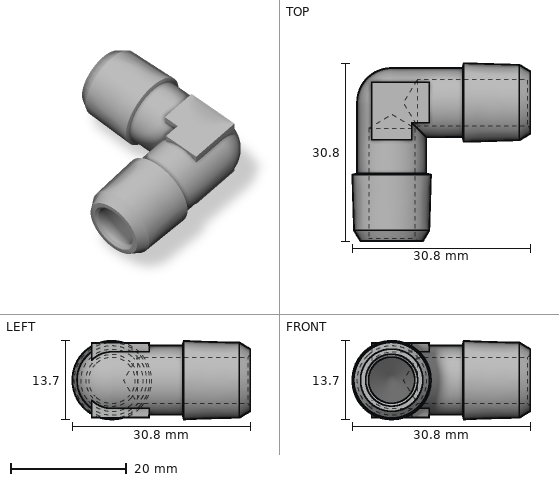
import cadquery as cq
import math

overall_size = 30.82
collar_diameter = 13.65
collar_radius = collar_diameter / 2
arm_length = overall_size - collar_radius
pipe_radius = 6.0

shoulder_start = 12.27
collar_start = 12.48
nose_start = 22.1
collar_end_radius = 6.53
nose_radius = 5.4

bore_radius = 4.0
mouth_chamfer = 0.5
bore_tip_offset = 2.0
drill_half_angle = math.radians(59)
drill_point_end = bore_tip_offset + bore_radius / math.tan(drill_half_angle)

block_height = 12.95
block_back = 3.48
block_front = 6.47


def revolve_about_x(profile):
    """Revolve a closed (position, radius) profile about the X axis."""
    return cq.Workplane("XY").polyline(profile).close().revolve(360, (0, 0, 0), (1, 0, 0))


def aim_down_y(body):
    """Turn an arm lying along +X so that it lies along -Y."""
    return body.rotate((0, 0, 0), (0, 0, 1), -90)


def make_arm():
    return revolve_about_x([
        (0, 0),
        (0, pipe_radius),
        (shoulder_start, pipe_radius),
        (collar_start, collar_radius),
        (nose_start, collar_end_radius),
        (arm_length, nose_radius),
        (arm_length, 0),
    ])


def make_bore():
    return revolve_about_x([
        (bore_tip_offset, 0),
        (drill_point_end, bore_radius),
        (arm_length - mouth_chamfer, bore_radius),
        (arm_length, bore_radius + mouth_chamfer),
        (arm_length, 0),
    ])


def make_corner_block():
    outline = [
        (-block_back, block_back),
        (block_front, block_back),
        (block_front, -block_back),
        (block_back, -block_back),
        (block_back, -block_front),
        (-block_back, -block_front),
    ]
    return cq.Workplane("XY").polyline(outline).close().extrude(block_height / 2, both=True)


arm = make_arm()
bore = make_bore()
corner_ball = cq.Workplane("XY").sphere(pipe_radius)

elbow = arm.union(aim_down_y(arm)).union(corner_ball).union(make_corner_block())
result = elbow.cut(bore).cut(aim_down_y(bore))